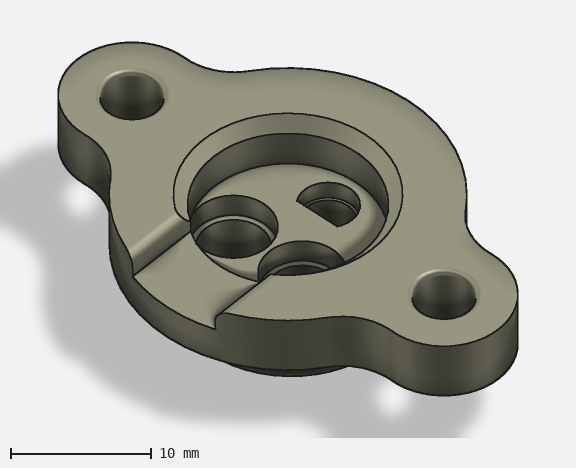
import cadquery as cq

length = 40.45
flange_diameter = 25.45
flange_radius = flange_diameter / 2
lug_radius = 5.25
lug_offset = length / 2 - lug_radius
neck_fillet = 5.0
flange_thickness = 4.98
lug_hole_diameter = 4.5
lug_hole_fillet = 0.5

total_height = 10.5
boss_diameter = 17.28
boss_offset_y = 0.32
boss_fillet = 1.0

pocket_diameter = 14.3
pocket_depth = 4.05
rim_chamfer = 1.0
channel_width = 7.95
channel_depth = 2.0
channel_fillet = 1.1

bore_diameter = 5.4
counterbore_diameter = 6.3
bore_centres = [(-3.4, -2.02), (3.3, -2.15)]
counterbore_depth = 2.0
d_hole_centre = (0.12, 4.13)
d_hole_radius = 2.25
d_hole_flat = 1.17
d_hole_ledge = 0.25
d_hole_step_depth = 1.55


def cylinder_down(centre, diameter, top, depth):
    """Vertical cylinder reaching down from the given top height."""
    return cq.Workplane("XY", origin=(*centre, top)).circle(diameter / 2).extrude(-depth)


def d_prism_down(radius, flat, top, depth):
    """D-shaped prism: a round bar cut by a flat on its -Y side."""
    bar = cylinder_down(d_hole_centre, 2 * radius, top, depth)
    x, y = d_hole_centre
    keep = (
        cq.Workplane("XY", origin=(x, y - flat, top))
        .rect(2 * radius, 4 * radius)
        .extrude(-depth)
        .translate((0, 2 * radius, 0))
    )
    return bar.intersect(keep)


def make_flange():
    flange = cylinder_down((0, 0), flange_diameter, 0, flange_thickness)
    lugs = (
        cq.Workplane("XY")
        .pushPoints([(-lug_offset, 0), (lug_offset, 0)])
        .circle(lug_radius)
        .extrude(-flange_thickness)
    )
    flange = flange.union(lugs)
    lug_reach = (flange_radius**2 - lug_radius**2 + lug_offset**2) / (2 * lug_offset)
    corner_y = (flange_radius**2 - lug_reach**2) ** 0.5
    for x in (-lug_reach, lug_reach):
        for y in (-corner_y, corner_y):
            corner = cq.selectors.NearestToPointSelector((x, y, -flange_thickness / 2))
            flange = flange.edges(corner).fillet(neck_fillet)
    return flange


def make_boss():
    boss = cylinder_down((0, boss_offset_y), boss_diameter, -flange_thickness, total_height - flange_thickness)
    return boss.faces("<Z").edges().fillet(boss_fillet)


def make_lug_hole(x):
    """Through hole with a rounded mouth, as a solid to be cut away."""
    mouth_radius = lug_hole_diameter / 2 + lug_hole_fillet
    profile = (
        cq.Workplane("XZ")
        .lineTo(mouth_radius, 0)
        .radiusArc((lug_hole_diameter / 2, -lug_hole_fillet), -lug_hole_fillet)
        .lineTo(lug_hole_diameter / 2, -flange_thickness)
        .lineTo(0, -flange_thickness)
        .close()
    )
    return profile.revolve(360, (0, 0, 0), (0, 1, 0)).translate((x, 0, 0))


def make_pocket():
    rim_radius = pocket_diameter / 2 + rim_chamfer
    rim = cq.Workplane("XY").circle(rim_radius).extrude(-rim_chamfer, taper=45)
    return cylinder_down((0, 0), pocket_diameter, 0, pocket_depth).union(rim)


def make_channel():
    """Channel toward -Y whose upper edges are rounded outward."""
    half_width = channel_width / 2
    mouth = half_width + channel_fillet
    return (
        cq.Workplane("XZ")
        .moveTo(-half_width, -channel_depth)
        .lineTo(half_width, -channel_depth)
        .lineTo(half_width, -channel_fillet)
        .radiusArc((mouth, 0), channel_fillet)
        .lineTo(-mouth, 0)
        .radiusArc((-half_width, -channel_fillet), channel_fillet)
        .close()
        .extrude(flange_radius)
    )


def make_floor_holes():
    holes = make_d_hole()
    for centre in bore_centres:
        holes = holes.union(cylinder_down(centre, counterbore_diameter, -pocket_depth, counterbore_depth))
        holes = holes.union(cylinder_down(centre, bore_diameter, -pocket_depth, total_height - pocket_depth))
    return holes


def make_d_hole():
    recess = d_prism_down(d_hole_radius, d_hole_flat, -pocket_depth, d_hole_step_depth)
    through = d_prism_down(
        d_hole_radius - d_hole_ledge,
        d_hole_flat - d_hole_ledge,
        -pocket_depth,
        total_height - pocket_depth,
    )
    return recess.union(through)


result = make_flange().union(make_boss())
for lug_x in (-lug_offset, lug_offset):
    result = result.cut(make_lug_hole(lug_x))
result = result.cut(make_pocket()).cut(make_channel()).cut(make_floor_holes())